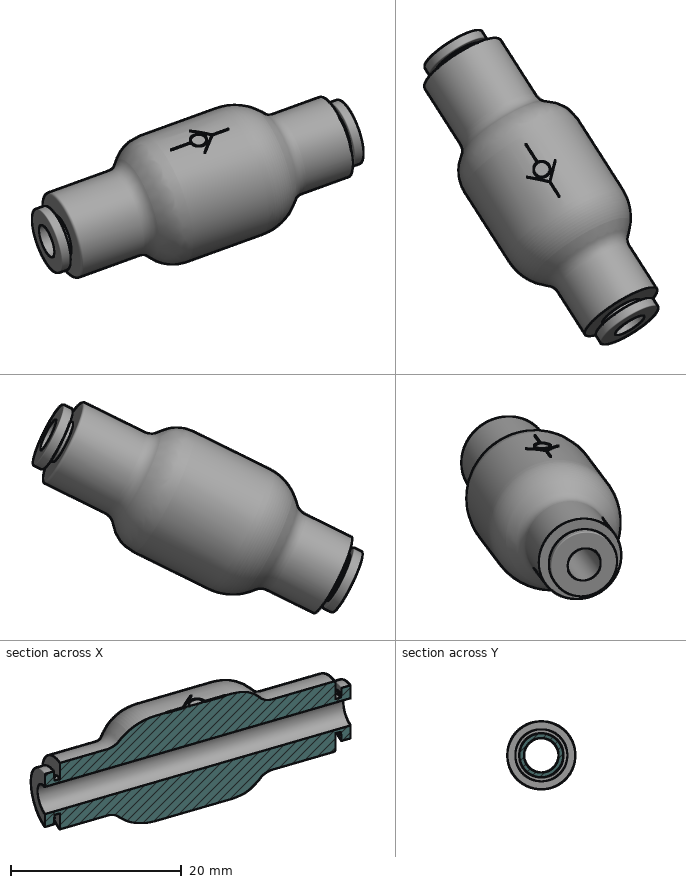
import cadquery as cq
import math

length = 39.54
bore_radius = 2.0

flange_radius = 4.0
flange_thickness = 1.2
flange_edge_radius = 0.12
shoulder_radius = 3.05
shoulder_thickness = 0.1
neck_radius = 2.6
collar_reach = 1.95

barrel_radius = 7.9
rear_radius = 5.0
front_radius = 5.3
front_edge_radius = 0.3
barrel_rear_y = 5.4
barrel_front_y = -4.5
rear_bulge_radius = 6.3
rear_hollow_radius = 2.0
front_bulge_radius = 4.4
front_hollow_radius = 2.0

band_count = 9
band_width = 1 / 3
first_band_y = 6.1

ball_y = 0.1
ball_radius = 1.0
seat_tip_y = 1.9
seat_leg_span = 1.95
flow_line_rear_y = 4.0
flow_line_front_y = -3.5
engraving_width = 0.08
engraving_depth = 0.08

end_y = length / 2
body_end_y = end_y - collar_reach


def bulge_point(angle, side_y, direction, bulge_radius):
    """Point (radius, y) on a bulge, at an angle from where it leaves the barrel."""
    radius = barrel_radius - bulge_radius * (1 - math.cos(angle))
    return radius, side_y + direction * bulge_radius * math.sin(angle)


def rear_bulge_angle(y):
    """Angle at which the rear bulge reaches a given y."""
    return math.asin((y - barrel_rear_y) / rear_bulge_radius)


def rear_bulge_point(angle):
    """Point (radius, y) on the rear bulge at an angle from the barrel."""
    return bulge_point(angle, barrel_rear_y, 1, rear_bulge_radius)


def blend_points(side_y, direction, end_radius, bulge_radius, hollow_radius):
    """Mid bulge, joint, mid hollow and end points of a tangent S-curve down to an end."""
    drop = barrel_radius - end_radius
    angle = math.acos(1 - drop / (bulge_radius + hollow_radius))
    end = (end_radius, side_y + direction * (bulge_radius + hollow_radius) * math.sin(angle))
    mid_bulge = bulge_point(angle / 2, side_y, direction, bulge_radius)
    joint = bulge_point(angle, side_y, direction, bulge_radius)
    mid_hollow = (
        end_radius + hollow_radius * (1 - math.cos(angle / 2)),
        end[1] - direction * hollow_radius * math.sin(angle / 2),
    )
    return mid_bulge, joint, mid_hollow, end


def band_points():
    """Points on the rear bulge where the conical bands meet, from front to rear."""
    points = []
    for index in range(band_count + 1):
        y = first_band_y + index * band_width
        points.append(rear_bulge_point(rear_bulge_angle(y)))
    return points


def make_housing():
    front_bulge, front_joint, front_hollow, front_end = blend_points(
        barrel_front_y, -1, front_radius, front_bulge_radius, front_hollow_radius
    )
    _, rear_joint, rear_hollow, rear_end = blend_points(
        barrel_rear_y, 1, rear_radius, rear_bulge_radius, rear_hollow_radius
    )
    bands = band_points()
    first_band_angle = rear_bulge_angle(bands[0][1])
    last_band_angle = rear_bulge_angle(bands[-1][1])
    joint_angle = rear_bulge_angle(rear_joint[1])

    profile = (
        cq.Workplane("XY")
        .moveTo(0, -body_end_y)
        .lineTo(front_radius, -body_end_y)
        .lineTo(*front_end)
        .threePointArc(front_hollow, front_joint)
        .threePointArc(front_bulge, (barrel_radius, barrel_front_y))
        .lineTo(barrel_radius, barrel_rear_y)
        .threePointArc(rear_bulge_point(first_band_angle / 2), bands[0])
    )
    for point in bands[1:]:
        profile = profile.lineTo(*point)
    profile = (
        profile.threePointArc(rear_bulge_point((last_band_angle + joint_angle) / 2), rear_joint)
        .threePointArc(rear_hollow, rear_end)
        .lineTo(rear_radius, body_end_y)
        .lineTo(0, body_end_y)
        .close()
    )
    housing = profile.revolve(360, (0, 0, 0), (0, 1, 0))
    return housing.faces("<Y").edges().fillet(front_edge_radius)


def make_symbol_cutter():
    """Symbol strokes running in from above, stopped at the engraving depth."""
    height = 2 * barrel_radius

    def stroke(start, finish):
        middle = ((start[0] + finish[0]) / 2, (start[1] + finish[1]) / 2)
        run = (finish[0] - start[0], finish[1] - start[1])
        return (
            cq.Workplane("XY")
            .center(*middle)
            .transformed(rotate=(0, 0, math.degrees(math.atan2(run[1], run[0]))))
            .rect(math.hypot(*run), engraving_width)
            .extrude(height)
        )

    seat_tip = (0, seat_tip_y)
    strokes = (
        cq.Workplane("XY")
        .center(0, ball_y)
        .circle(ball_radius)
        .circle(ball_radius - engraving_width)
        .extrude(height)
    )
    strokes = strokes.union(stroke((0, flow_line_rear_y), seat_tip))
    strokes = strokes.union(stroke((0, ball_y - ball_radius), (0, flow_line_front_y)))
    for side in (-1, 1):
        leg_end = (side * seat_leg_span, seat_tip_y - seat_leg_span)
        strokes = strokes.union(stroke(seat_tip, leg_end))
    floor = cq.Workplane("XZ").circle(barrel_radius - engraving_depth).extrude(length / 2, both=True)
    return strokes.cut(floor)


def make_collar(direction):
    """Stepped release collar; direction is +1 for the rear end and -1 for the front."""
    flange_inner_y = end_y - flange_thickness
    shoulder_y = flange_inner_y - shoulder_thickness

    def disc(radius, from_y, to_y):
        base = cq.Workplane("XZ", origin=(0, direction * from_y, 0))
        return base.circle(radius).extrude(-direction * (to_y - from_y))

    flange = disc(flange_radius, flange_inner_y, end_y).edges().fillet(flange_edge_radius)
    shoulder = disc(shoulder_radius, shoulder_y, end_y - flange_thickness / 2)
    neck = disc(neck_radius, 0, flange_inner_y)
    return neck.union(shoulder).union(flange)


result = make_housing().cut(make_symbol_cutter())
for end in (1, -1):
    result = result.union(make_collar(end))
bore = cq.Workplane("XZ", origin=(0, end_y, 0)).circle(bore_radius).extrude(length)
result = result.cut(bore)